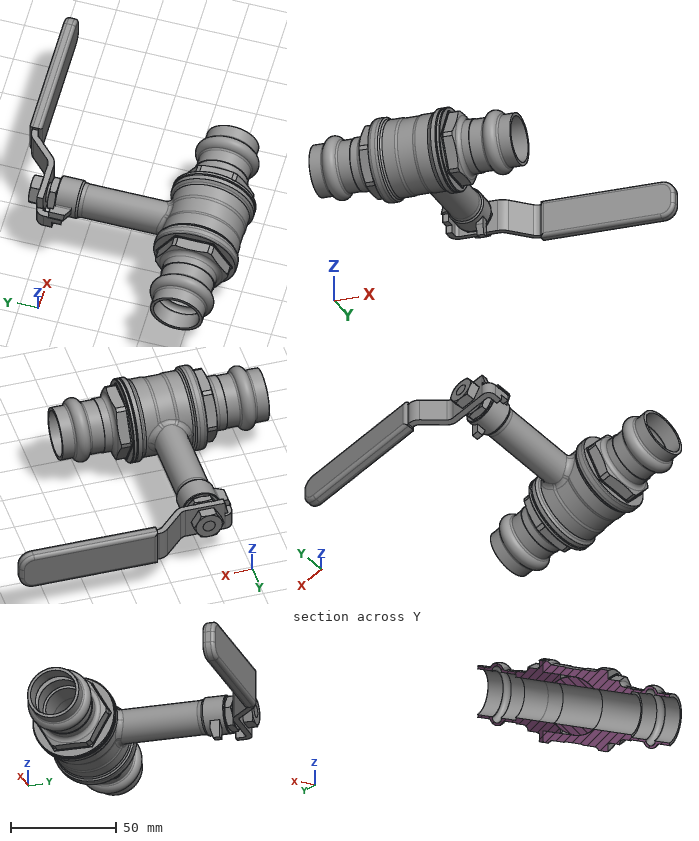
import cadquery as cq
import math


BORE_RADIUS = 10.0
HALF_LENGTH = 51.25
COLLAR_END = 18.4
CAP_SEAM = 16.4
COLLAR_RADIUS = 20.5
COLLAR_EASE = 0.4
BARREL_RADIUS = 18.95
WAIST_RADIUS = 18.6
BALL_RADIUS = 14.5

SPIGOT_START = 7.0
HEX_ROOT_END = 19.0
HEX_ROOT_FLATS = 32.7
HEX_FLATS = 31.9
HEX_CHAMFER_START = 23.8
HEX_FACE_RADIUS = 15.4
HEX_TURNED_RADIUS = 17.8
HEX_END = 24.6
TUBE_RADIUS = 12.8
TUBE_INNER_RADIUS = 11.3
TUBE_STOP = 31.0
SHOULDER_RADIUS = 13.2
SHOULDER_START = 26.6
SHOULDER_END = 30.4
BEAD_POSITION = 41.0
BEAD_CREST = 15.6
BEAD_SECTION_RADIUS = 3.75
BEAD_ROOT_FILLET = 1.0

NECK_RADIUS = 8.25
NECK_FILLET = 2.7
HEAD_RADIUS = 9.3
HEAD_BOTTOM = 61.4
HEAD_TOP = 71.9
HEAD_CHAMFER_RADIUS = 8.6
HEAD_EDGE = 0.4
HEAD_CHAMFER_BOTTOM = 60.4
HEAD_BLEND_BOTTOM = 58.4

STOP_REACH = 14.2
STOP_TIP_REACH = 13.1
STOP_WIDTH = 3.5
STOP_FILLET = 0.7
STOP_TIP_BOTTOM = 66.2

GLAND_FLATS = 15.0
GLAND_TOP = 75.6
STEM_RADIUS = 4.75
STEM_END_RADIUS = 3.0

LEVER_THICKNESS = 3.0
LEVER_WIDTH = 16.0
LEVER_BOTTOM = 77.2
LEVER_BEND_START = 10.2
LEVER_BEND_RADIUS = 4.0
TAB_INNER_REACH = 10.8
TAB_BEND_RADIUS = 1.4
TAB_SHORT_BOTTOM = 71.7
TAB_LONG_BOTTOM = 67.2
TAB_LONG_WIDTH = 4.1
RELIEF_WIDTH = 1.5

NUT_FLATS = 13.0
NUT_HEIGHT = 5.0

GRIP_START = 27.8
GRIP_END = 96.2
GRIP_WIDTH = 19.0
GRIP_THICKNESS = 6.2
GRIP_CENTRE_Y = 91.1
GRIP_CORNER_RADIUS = 6.85
GRIP_EDGE_RADIUS = 1.8

LEVER_MIDDLE = LEVER_BOTTOM + LEVER_THICKNESS / 2
LEVER_TOP = LEVER_BOTTOM + LEVER_THICKNESS
GRIP_WALL = (GRIP_WIDTH - LEVER_WIDTH) / 2
LEVER_END = GRIP_END - GRIP_WALL


def hexagon(workplane, flats, height):
    """Hexagonal prism with the given width across flats."""
    return workplane.polygon(6, flats / math.cos(math.pi / 6)).extrude(height)


def ring_about_x(points):
    """Turned shape: (position along X, radius) corners revolved about the X axis."""
    return cq.Workplane("XY").polyline(points).close().revolve(360, (0, 0), (1, 0))


def cylinder_y(radius, bottom, top):
    """Cylinder on the neck axis between two heights."""
    return cq.Workplane("XZ", origin=(0, bottom, 0)).circle(radius).extrude(bottom - top)


def bead_torus(section_radius):
    """Ring of circular section, centred on the O-ring bead."""
    ring_radius = BEAD_CREST - BEAD_SECTION_RADIUS
    return (
        cq.Workplane("XY")
        .center(BEAD_POSITION, ring_radius)
        .circle(section_radius)
        .revolve(360, (0, -ring_radius), (1, -ring_radius))
    )


def wrench_hexagon():
    """Hexagon with turned-down corners and a wider foot on the collar face."""
    foot = hexagon(
        cq.Workplane("YZ", origin=(COLLAR_END, 0, 0)), HEX_ROOT_FLATS, HEX_ROOT_END - COLLAR_END
    )
    flats = hexagon(cq.Workplane("YZ", origin=(COLLAR_END, 0, 0)), HEX_FLATS, HEX_END - COLLAR_END)
    turned = ring_about_x([
        (COLLAR_END, 0),
        (COLLAR_END, HEX_TURNED_RADIUS),
        (HEX_CHAMFER_START, HEX_TURNED_RADIUS),
        (HEX_END, HEX_FACE_RADIUS),
        (HEX_END, 0),
    ])
    return flats.intersect(turned).union(foot)


def press_tube():
    """Outside of the tube, blended from the hexagon and carrying the bead."""
    blend_radius = 2.4

    bead_centre_radius = BEAD_CREST - BEAD_SECTION_RADIUS
    root_height = TUBE_RADIUS + BEAD_ROOT_FILLET - bead_centre_radius
    centre_distance = BEAD_SECTION_RADIUS + BEAD_ROOT_FILLET
    root_offset = math.sqrt(centre_distance**2 - root_height**2)
    touch_offset = root_offset * BEAD_SECTION_RADIUS / centre_distance
    touch_radius = bead_centre_radius + root_height * BEAD_SECTION_RADIUS / centre_distance

    return (
        cq.Workplane("XY")
        .moveTo(COLLAR_END, 0)
        .lineTo(COLLAR_END, HEX_FACE_RADIUS)
        .lineTo(HEX_END, HEX_FACE_RADIUS)
        .radiusArc((SHOULDER_START, SHOULDER_RADIUS), -blend_radius)
        .lineTo(SHOULDER_END, SHOULDER_RADIUS)
        .lineTo(SHOULDER_END, TUBE_RADIUS)
        .lineTo(BEAD_POSITION - root_offset, TUBE_RADIUS)
        .radiusArc((BEAD_POSITION - touch_offset, touch_radius), -BEAD_ROOT_FILLET)
        .threePointArc((BEAD_POSITION, BEAD_CREST), (BEAD_POSITION + touch_offset, touch_radius))
        .radiusArc((BEAD_POSITION + root_offset, TUBE_RADIUS), -BEAD_ROOT_FILLET)
        .lineTo(HALF_LENGTH, TUBE_RADIUS)
        .lineTo(HALF_LENGTH, 0)
        .close()
        .revolve(360, (0, 0), (1, 0))
    )


def press_end():
    return wrench_hexagon().union(press_tube())


def press_end_bore():
    """Flow passage, pipe socket and O-ring groove."""
    bore = ring_about_x([
        (0, 0),
        (0, BORE_RADIUS),
        (TUBE_STOP, BORE_RADIUS),
        (TUBE_STOP, TUBE_INNER_RADIUS),
        (HALF_LENGTH, TUBE_INNER_RADIUS),
        (HALF_LENGTH, 0),
    ])
    tube_wall = TUBE_RADIUS - TUBE_INNER_RADIUS
    return bore.union(bead_torus(BEAD_SECTION_RADIUS - tube_wall))


def seat_reach(radius):
    """Distance along X at which the ball has this radius about X; also gives radius from distance."""
    return math.sqrt(BALL_RADIUS**2 - radius**2)


def ball():
    port = seat_reach(BORE_RADIUS)
    return (
        cq.Workplane("XY")
        .moveTo(-port, BORE_RADIUS)
        .threePointArc((0, BALL_RADIUS), (port, BORE_RADIUS))
        .close()
        .revolve(360, (0, 0), (1, 0))
    )


def end_cap():
    """+X press end with the outer part of the collar and the spigot that seats the ball."""
    seat_start_radius = seat_reach(SPIGOT_START)
    seat_middle_radius = (seat_start_radius + BORE_RADIUS) / 2
    spigot_and_collar = (
        cq.Workplane("XY")
        .moveTo(SPIGOT_START, seat_start_radius)
        .lineTo(SPIGOT_START, BALL_RADIUS)
        .lineTo(CAP_SEAM, BALL_RADIUS)
        .lineTo(CAP_SEAM, COLLAR_RADIUS - COLLAR_EASE)
        .lineTo(CAP_SEAM + COLLAR_EASE, COLLAR_RADIUS)
        .lineTo(COLLAR_END - COLLAR_EASE, COLLAR_RADIUS)
        .lineTo(COLLAR_END, COLLAR_RADIUS - COLLAR_EASE)
        .lineTo(COLLAR_END, BORE_RADIUS)
        .lineTo(seat_reach(BORE_RADIUS), BORE_RADIUS)
        .threePointArc(
            (seat_reach(seat_middle_radius), seat_middle_radius), (SPIGOT_START, seat_start_radius)
        )
        .close()
        .revolve(360, (0, 0), (1, 0))
    )
    return press_end().cut(press_end_bore()).union(spigot_and_collar)


def body_shell():
    """Outside of the body: waist, barrel and a rounded collar at each end."""
    crown_ease = 0.15
    waist_end = 3.9
    barrel_start = 5.2
    barrel_end = 11.6
    collar_foot = (12.6, 19.5)
    left_crown_start, left_crown_end = 14.75, 17.05
    left_rise_end = 13.35
    left_fall_end = 17.9
    right_crown_start = 13.8
    return ring_about_x([
        (-COLLAR_END, 0),
        (-COLLAR_END, COLLAR_RADIUS - COLLAR_EASE),
        (-left_fall_end, COLLAR_RADIUS - crown_ease),
        (-left_crown_end, COLLAR_RADIUS),
        (-left_crown_start, COLLAR_RADIUS),
        (-left_rise_end, COLLAR_RADIUS - crown_ease),
        (-collar_foot[0], collar_foot[1]),
        (-barrel_end, BARREL_RADIUS),
        (-barrel_start, BARREL_RADIUS),
        (-waist_end, WAIST_RADIUS),
        (waist_end, WAIST_RADIUS),
        (barrel_start, BARREL_RADIUS),
        (barrel_end, BARREL_RADIUS),
        collar_foot,
        (right_crown_start, COLLAR_RADIUS),
        (CAP_SEAM - COLLAR_EASE, COLLAR_RADIUS),
        (CAP_SEAM, COLLAR_RADIUS - COLLAR_EASE),
        (CAP_SEAM, 0),
    ])


def neck_head():
    """Enlarged top of the neck, blended down to the neck."""
    return (
        cq.Workplane("XY")
        .moveTo(0, HEAD_BLEND_BOTTOM)
        .lineTo(NECK_RADIUS, HEAD_BLEND_BOTTOM)
        .lineTo(HEAD_CHAMFER_RADIUS, HEAD_CHAMFER_BOTTOM)
        .lineTo(HEAD_RADIUS, HEAD_BOTTOM)
        .lineTo(HEAD_RADIUS, HEAD_TOP - HEAD_EDGE)
        .lineTo(HEAD_RADIUS - HEAD_EDGE, HEAD_TOP)
        .lineTo(0, HEAD_TOP)
        .close()
        .revolve(360, (0, 0), (0, 1))
    )


def side_stop():
    """Lug on the -X side that the lever tab rests against; its tip is tapered."""
    raised_top = 73.3
    root_bottom = 63.4
    side = (
        cq.Workplane("XY")
        .polyline([
            (0, HEAD_TOP), (-TAB_INNER_REACH, HEAD_TOP), (-TAB_INNER_REACH, raised_top),
            (-STOP_REACH, raised_top), (-STOP_REACH, STOP_TIP_BOTTOM),
            (-HEAD_RADIUS, root_bottom), (0, root_bottom),
        ])
        .close()
        .extrude(STOP_WIDTH)
    )
    plan = (
        cq.Workplane("XZ", origin=(0, raised_top, 0))
        .polyline([(0, 0), (-STOP_REACH, 0), (-STOP_TIP_REACH, STOP_WIDTH), (0, STOP_WIDTH)])
        .close()
        .extrude(raised_top - HEAD_BOTTOM)
    )
    return side.intersect(plan)


def lower_stop():
    """Lug on the -Z side that ends the quarter turn of the lever."""
    lug_top = 69.5
    root_bottom = 64.7
    return (
        cq.Workplane("YZ", origin=(TAB_LONG_WIDTH, 0, 0))
        .polyline([
            (lug_top, 0), (lug_top, -STOP_REACH), (STOP_TIP_BOTTOM, -STOP_REACH),
            (root_bottom, -HEAD_RADIUS), (root_bottom, 0),
        ])
        .close()
        .extrude(STOP_WIDTH)
    )


def ball_chamber():
    """Cavity open to the cap, closed on the -X side by a seat that fits the ball."""
    return (
        cq.Workplane("XY")
        .moveTo(-BALL_RADIUS, 0)
        .radiusArc((0, BALL_RADIUS), BALL_RADIUS)
        .lineTo(CAP_SEAM, BALL_RADIUS)
        .lineTo(CAP_SEAM, 0)
        .close()
        .revolve(360, (0, 0), (1, 0))
    )


def valve_body():
    body = body_shell().union(cylinder_y(NECK_RADIUS, 0, HEAD_BOTTOM))
    margin = 1.0
    reach = NECK_RADIUS + margin
    neck_root = cq.selectors.BoxSelector(
        (-reach, BORE_RADIUS, -reach), (reach, COLLAR_RADIUS, reach), boundingbox=True
    )
    body = body.edges(neck_root).fillet(NECK_FILLET)
    head = neck_head().union(side_stop())
    lug_root = cq.selectors.NearestToPointSelector((-HEAD_RADIUS, (HEAD_BOTTOM + HEAD_TOP) / 2, STOP_WIDTH))
    head = head.edges(lug_root).fillet(STOP_FILLET)
    body = body.union(head).union(lower_stop()).union(press_end().mirror("YZ"))
    return (
        body.cut(press_end_bore().mirror("YZ"))
        .cut(ball_chamber())
        .cut(cylinder_y(STEM_RADIUS, 0, HEAD_TOP))
    )


def stem():
    shaft = cylinder_y(STEM_RADIUS, BALL_RADIUS, LEVER_BOTTOM)
    return shaft.union(cylinder_y(STEM_END_RADIUS, LEVER_BOTTOM, LEVER_TOP + NUT_HEIGHT))


def chamfered_nut(flats, bottom, top, hole_radius, both_ends):
    """Hexagon nut on the neck axis, corners along X, turned on top or at both ends."""
    corner = flats / math.cos(math.pi / 6) / 2
    face = flats / 2
    chamfer = 0.5
    foot = [(face, bottom), (corner, bottom + chamfer)] if both_ends else [(corner, bottom)]
    turned = (
        cq.Workplane("XY")
        .polyline([(0, bottom)] + foot + [(corner, top - chamfer), (face, top), (0, top)])
        .close()
        .revolve(360, (0, 0), (0, 1))
    )
    prism = hexagon(cq.Workplane("XZ", origin=(0, bottom, 0)), flats, bottom - top)
    return prism.intersect(turned).cut(cylinder_y(hole_radius, bottom, top))


def lever():
    half = LEVER_THICKNESS / 2
    miter = math.tan(math.pi / 8)
    low_corner = LEVER_BEND_START + (LEVER_BEND_RADIUS + half) * miter
    high_corner = low_corner + GRIP_CENTRE_Y - LEVER_MIDDLE
    tab_outer = TAB_INNER_REACH + LEVER_THICKNESS
    inner_radius = LEVER_BEND_RADIUS
    outer_radius = LEVER_BEND_RADIUS + LEVER_THICKNESS

    bends = [
        (-TAB_INNER_REACH, LEVER_BOTTOM, TAB_BEND_RADIUS),
        (low_corner + half * miter, LEVER_BOTTOM, outer_radius),
        (high_corner + half * miter, GRIP_CENTRE_Y - half, inner_radius),
        (high_corner - half * miter, GRIP_CENTRE_Y + half, outer_radius),
        (low_corner - half * miter, LEVER_TOP, inner_radius),
        (-tab_outer, LEVER_TOP, TAB_BEND_RADIUS + LEVER_THICKNESS),
    ]
    corners = [(x, y) for x, y, _ in bends]
    outline = (
        [(-tab_outer, TAB_LONG_BOTTOM), (-TAB_INNER_REACH, TAB_LONG_BOTTOM)]
        + corners[:3]
        + [(LEVER_END, GRIP_CENTRE_Y - half), (LEVER_END, GRIP_CENTRE_Y + half)]
        + corners[3:]
    )
    blade = cq.Workplane("XY").polyline(outline).close().extrude(LEVER_WIDTH / 2, both=True)
    for x, y, radius in bends:
        blade = blade.edges(cq.selectors.NearestToPointSelector((x, y, 0))).fillet(radius)
    blade = blade.edges("|Y and >X").fillet(GRIP_CORNER_RADIUS - GRIP_WALL)

    relief_end = TAB_BEND_RADIUS - TAB_INNER_REACH
    half_width = LEVER_WIDTH / 2
    beside_tab = (
        cq.Workplane("XZ", origin=(0, LEVER_TOP, 0))
        .polyline([
            (-tab_outer, 0),
            (relief_end, 0),
            (relief_end, RELIEF_WIDTH),
            (-TAB_INNER_REACH, RELIEF_WIDTH),
            (relief_end, half_width),
            (-tab_outer, half_width),
        ])
        .close()
        .extrude(LEVER_TOP - TAB_LONG_BOTTOM)
    )
    below_short_tab = cq.Workplane("XY").box(
        LEVER_THICKNESS,
        TAB_SHORT_BOTTOM - TAB_LONG_BOTTOM,
        half_width - TAB_LONG_WIDTH,
        centered=False,
    ).translate((-tab_outer, TAB_LONG_BOTTOM, -half_width))
    blade = blade.cut(beside_tab).cut(below_short_tab)
    return blade.cut(cylinder_y(STEM_END_RADIUS, LEVER_BOTTOM, LEVER_TOP))


def grip(lever_blade):
    length = GRIP_END - GRIP_START
    return (
        cq.Workplane("XY")
        .box(length, GRIP_THICKNESS, GRIP_WIDTH)
        .translate((GRIP_START + length / 2, GRIP_CENTRE_Y, 0))
        .edges("|Y and >X")
        .fillet(GRIP_CORNER_RADIUS)
        .faces("<Y or >Y")
        .edges()
        .fillet(GRIP_EDGE_RADIUS)
        .cut(lever_blade)
    )


body = valve_body()
valve_ball = ball()
cap = end_cap()
valve_stem = stem()
gland_nut = chamfered_nut(GLAND_FLATS, HEAD_TOP, GLAND_TOP, STEM_RADIUS, True)
lever_nut = chamfered_nut(NUT_FLATS, LEVER_TOP, LEVER_TOP + NUT_HEIGHT, STEM_END_RADIUS, False)
handle = lever()
handle_grip = grip(handle)

result = cq.Compound.makeCompound([
    body.val(),
    valve_ball.val(),
    cap.val(),
    valve_stem.val(),
    gland_nut.val(),
    lever_nut.val(),
    handle.val(),
    handle_grip.val(),
])